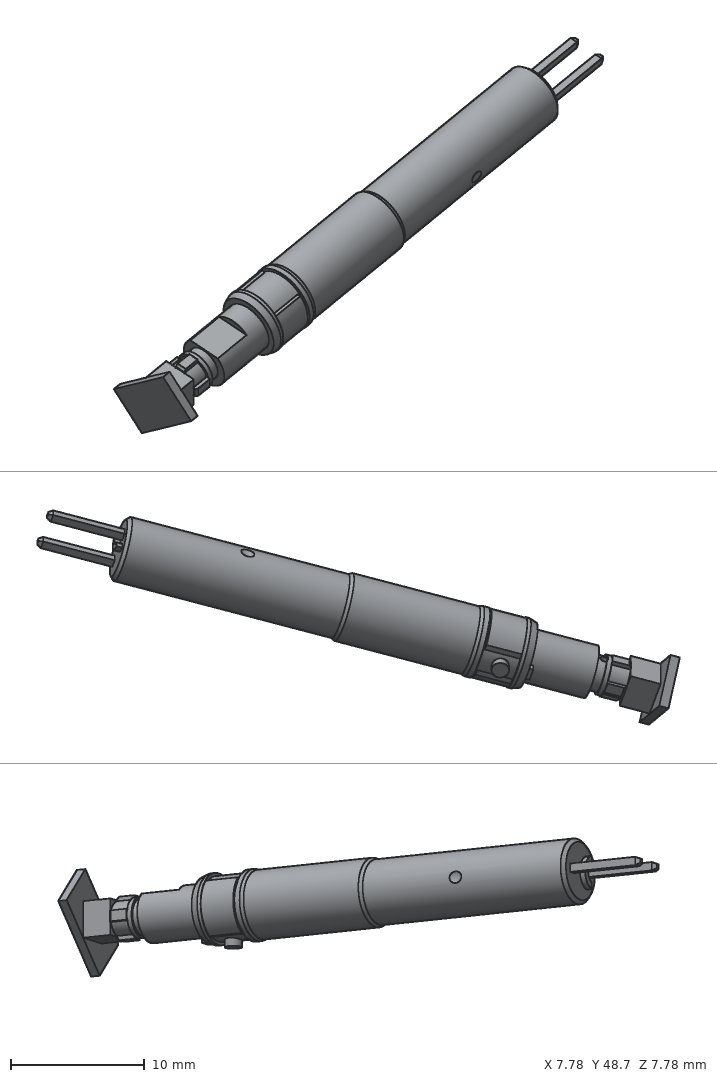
import cadquery as cq


PLATE_LENGTH = 7.0
PLATE_WIDTH = 4.0
PLATE_THICKNESS = 0.75
PLATE_ANGLE = 45

NECK_SIZE = 2.8
BLOCK_END_Y = 3.05
RIB_END_Y = 4.6
FLANGE_END_Y = 4.95
RIB_RADIUS = 1.65
RIB_WIDTH = 0.85
RIB_COUNT = 4
RIB_CHAMFER = 0.2
FLANGE_RADIUS = 1.55
NECK_HOLE_DIAMETER = 0.6
NECK_HOLE_DEPTH = 0.5
NECK_HOLE_Y = 5.15

STEM_START_Y = 5.75
STEM_RADIUS = 2.05
STEM_FLAT_Z = 1.5
STEM_FLAT_END_Y = 8.95

COLLAR_START_Y = 10.7
COLLAR_FRONT_RADIUS = 2.55
COLLAR_RADIUS = 2.75
COLLAR_TAPER = 0.6
GROOVE_START_Y = 11.6
GROOVE_END_Y = 14.5
GROOVE_RADIUS = 2.5
PAD_RADIUS = 2.7
PAD_END_Y = 14.35
PAD_TOP_Z = 1.85
PAD_BOTTOM_Z = -2.3
COLLAR_END_Y = 15.25
COLLAR_REAR_TAPER = 0.3

KEY_LENGTH = 0.3
KEY_WIDTH = 0.95
KEY_DEPTH = 2.55
PEG_DIAMETER = 1.3
PEG_DEPTH = 3.0
PEG_Y = 12.85

FRONT_BARREL_RADIUS = 2.65
REAR_BARREL_RADIUS = 2.5
BARREL_STEP_Y = 25.15
BARREL_STEP_LENGTH = 0.3
BARREL_END_Y = 42.75
BARREL_END_CHAMFER = 0.3
DIMPLE_SPHERE_RADIUS = 0.95
DIMPLE_DEPTH = 0.15
DIMPLE_Y = 33.4

PIN_SIZE = 0.65
PIN_PITCH = 2.5
PIN_END_Y = 48.7
PIN_TIP_LENGTH = 0.35
PIN_TIP_INSET = 0.15
MARK_OUTER_RADIUS = 1.3
MARK_INNER_RADIUS = 0.85
MARK_HEIGHT = 0.45


def plane_at(y):
    """Plane across the probe axis: local X is +X, local Y is +Z, a negative extrusion runs toward +Y."""
    return cq.Workplane(cq.Plane(origin=(0, y, 0), xDir=(1, 0, 0), normal=(0, -1, 0)))


def box_along(width, height, y_start, y_end):
    """Block centred on the probe axis."""
    return plane_at(y_start).rect(width, height).extrude(y_start - y_end)


def rod_along(radius, y_start, y_end):
    """Round rod on the probe axis."""
    return plane_at(y_start).circle(radius).extrude(y_start - y_end)


def make_plunger():
    plate = box_along(PLATE_LENGTH, PLATE_WIDTH, 0, PLATE_THICKNESS)
    plate = plate.rotate((0, 0, 0), (0, 1, 0), -PLATE_ANGLE)
    block = box_along(NECK_SIZE, NECK_SIZE, PLATE_THICKNESS, BLOCK_END_Y)
    neck = rod_along(NECK_SIZE / 2, BLOCK_END_Y, STEM_START_Y)
    flange = rod_along(FLANGE_RADIUS, RIB_END_Y, FLANGE_END_Y)
    plunger = plate.union(block).union(neck).union(flange)
    for index in range(RIB_COUNT):
        angle = index * 360 / RIB_COUNT
        plunger = plunger.union(make_rib().rotate((0, 0, 0), (0, 1, 0), angle))
    return plunger.cut(make_neck_hole())


def make_rib():
    """Rib on the +Z side of the neck, chamfered at its outer front edge."""
    return (
        cq.Workplane("YZ")
        .moveTo(BLOCK_END_Y, 0)
        .lineTo(BLOCK_END_Y, RIB_RADIUS - RIB_CHAMFER)
        .lineTo(BLOCK_END_Y + RIB_CHAMFER, RIB_RADIUS)
        .lineTo(RIB_END_Y, RIB_RADIUS)
        .lineTo(RIB_END_Y, 0)
        .close()
        .extrude(RIB_WIDTH / 2, both=True)
    )


def make_neck_hole():
    """Blind hole drilled into the neck from the -X side."""
    return (
        cq.Workplane("YZ", origin=(-FLANGE_RADIUS, 0, 0))
        .center(NECK_HOLE_Y, 0)
        .circle(NECK_HOLE_DIAMETER / 2)
        .extrude(FLANGE_RADIUS - NECK_SIZE / 2 + NECK_HOLE_DEPTH)
    )


def make_housing():
    housing = make_turned_housing()
    housing = housing.union(make_collar_pads())
    housing = housing.union(make_key())
    housing = housing.union(make_peg())
    housing = housing.union(make_pin_mark())
    return housing.cut(make_stem_flat()).cut(make_side_dimples())


def make_turned_housing():
    """Stem, grooved collar and stepped barrel, turned about the probe axis."""
    profile = [
        (STEM_START_Y, 0),
        (STEM_START_Y, STEM_RADIUS),
        (COLLAR_START_Y, STEM_RADIUS),
        (COLLAR_START_Y, COLLAR_FRONT_RADIUS),
        (COLLAR_START_Y + COLLAR_TAPER, COLLAR_RADIUS),
        (GROOVE_START_Y, COLLAR_RADIUS),
        (GROOVE_START_Y, GROOVE_RADIUS),
        (GROOVE_END_Y, GROOVE_RADIUS),
        (GROOVE_END_Y, COLLAR_RADIUS),
        (COLLAR_END_Y - COLLAR_REAR_TAPER, COLLAR_RADIUS),
        (COLLAR_END_Y, FRONT_BARREL_RADIUS),
        (BARREL_STEP_Y, FRONT_BARREL_RADIUS),
        (BARREL_STEP_Y + BARREL_STEP_LENGTH, REAR_BARREL_RADIUS),
        (BARREL_END_Y - BARREL_END_CHAMFER, REAR_BARREL_RADIUS),
        (BARREL_END_Y, REAR_BARREL_RADIUS - BARREL_END_CHAMFER),
        (BARREL_END_Y, 0),
    ]
    return cq.Workplane("YZ").polyline(profile).close().revolve(360, (0, 0), (1, 0))


def make_collar_pads():
    """The two side pads that fill the collar groove between an upper and a lower level."""
    ring = rod_along(PAD_RADIUS, GROOVE_START_Y, PAD_END_Y)
    ring = ring.cut(rod_along(STEM_RADIUS, GROOVE_START_Y, PAD_END_Y))
    band = box_along(2 * COLLAR_RADIUS, PAD_TOP_Z - PAD_BOTTOM_Z, GROOVE_START_Y, PAD_END_Y)
    band = band.translate((0, 0, (PAD_TOP_Z + PAD_BOTTOM_Z) / 2))
    return ring.intersect(band)


def make_key():
    """Small key on the front face of the collar, below the stem."""
    key = box_along(KEY_WIDTH, KEY_DEPTH, COLLAR_START_Y - KEY_LENGTH, COLLAR_START_Y)
    return key.translate((0, 0, -KEY_DEPTH / 2))


def make_peg():
    """Round locating peg that points down out of the collar groove."""
    return cq.Workplane("XY").center(0, PEG_Y).circle(PEG_DIAMETER / 2).extrude(-PEG_DEPTH)


def make_pin_mark():
    """Raised arc around the -X pin, on the side that faces the other pin."""
    ring = (
        plane_at(BARREL_END_Y)
        .center(-PIN_PITCH / 2, 0)
        .circle(MARK_OUTER_RADIUS)
        .circle(MARK_INNER_RADIUS)
        .extrude(-MARK_HEIGHT)
    )
    arc_width = MARK_OUTER_RADIUS - PIN_SIZE / 2
    arc_center_x = (MARK_OUTER_RADIUS + PIN_SIZE / 2 - PIN_PITCH) / 2
    arc_block = box_along(arc_width, 2 * MARK_OUTER_RADIUS, BARREL_END_Y, BARREL_END_Y + MARK_HEIGHT)
    arc_block = arc_block.translate((arc_center_x, 0, 0))
    return ring.intersect(arc_block)


def make_stem_flat():
    """Material removed above the flat on the front of the stem."""
    height = STEM_RADIUS - STEM_FLAT_Z
    block = box_along(2 * STEM_RADIUS, height, STEM_START_Y, STEM_FLAT_END_Y)
    return block.translate((0, 0, STEM_FLAT_Z + height / 2))


def make_side_dimples():
    """Spheres that leave a shallow dimple in the rear barrel on its -X and +X sides."""
    center_x = REAR_BARREL_RADIUS - DIMPLE_DEPTH + DIMPLE_SPHERE_RADIUS
    sphere_centers = [(-center_x, DIMPLE_Y), (center_x, DIMPLE_Y)]
    return cq.Workplane("XY").pushPoints(sphere_centers).sphere(DIMPLE_SPHERE_RADIUS)


def make_pin(x):
    """Square contact pin with a tapered tip, standing on the rear face of the barrel."""
    tip_start_y = PIN_END_Y - PIN_TIP_LENGTH
    tip_size = PIN_SIZE - 2 * PIN_TIP_INSET
    shank = box_along(PIN_SIZE, PIN_SIZE, BARREL_END_Y, tip_start_y)
    tip = (
        plane_at(tip_start_y)
        .rect(PIN_SIZE, PIN_SIZE)
        .workplane(offset=-PIN_TIP_LENGTH)
        .rect(tip_size, tip_size)
        .loft()
    )
    return shank.union(tip).translate((x, 0, 0))


plunger = make_plunger()
housing = make_housing()
pins = [make_pin(side * PIN_PITCH / 2) for side in (-1, 1)]

result = cq.Compound.makeCompound([plunger.val(), housing.val(), *[pin.val() for pin in pins]])